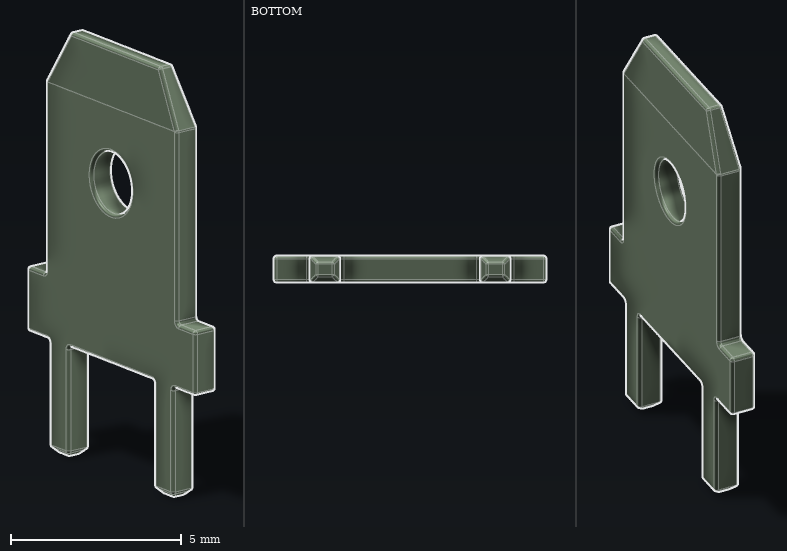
import cadquery as cq

height = 13.1
thickness = 0.8
edge_radius = 0.1

shoulder_width = 8.0
blade_width = 6.25
tip_width = 4.26
leg_width = 0.9
leg_pitch = 4.99
leg_length = 3.47
shoulder_height = 1.99
taper_height = 1.72
shoulder_top = leg_length + shoulder_height
taper_base = height - taper_height

tip_thickness = 0.5
leg_chamfer = 0.21
hole_diameter = 1.89
hole_from_top = 4.07


def make_blade():
    """Flat plate with shoulders and a narrowing lead-in at the top, centred on Y."""
    half_outline = [
        (0, leg_length),
        (shoulder_width / 2, leg_length),
        (shoulder_width / 2, shoulder_top),
        (blade_width / 2, shoulder_top),
        (blade_width / 2, taper_base),
        (tip_width / 2, height),
        (0, height),
    ]
    outline = cq.Workplane("XZ").polyline(half_outline).mirrorY()
    return outline.extrude(thickness / 2, both=True)


def make_leg(side):
    """Rectangular solder leg, side = -1 for left and +1 for right."""
    leg = cq.Workplane("XY").center(side * leg_pitch / 2, 0)
    return leg.rect(leg_width, thickness).extrude(leg_length)


def make_taper_envelope():
    """Side profile that thins both faces of the lead-in towards the top."""
    profile = [
        (-thickness / 2, 0),
        (thickness / 2, 0),
        (thickness / 2, taper_base),
        (tip_thickness / 2, height),
        (-tip_thickness / 2, height),
        (-thickness / 2, taper_base),
    ]
    return cq.Workplane("YZ").polyline(profile).close().extrude(shoulder_width / 2, both=True)


def make_hole():
    """Round hole through the thickness."""
    hole = cq.Workplane("XZ", origin=(0, thickness / 2, height - hole_from_top))
    return hole.circle(hole_diameter / 2).extrude(thickness)


body = make_blade()
for side in (-1, 1):
    body = body.union(make_leg(side))
body = body.intersect(make_taper_envelope()).cut(make_hole()).clean()

body = body.faces("<Z").chamfer(leg_chamfer)
result = body.edges().fillet(edge_radius)